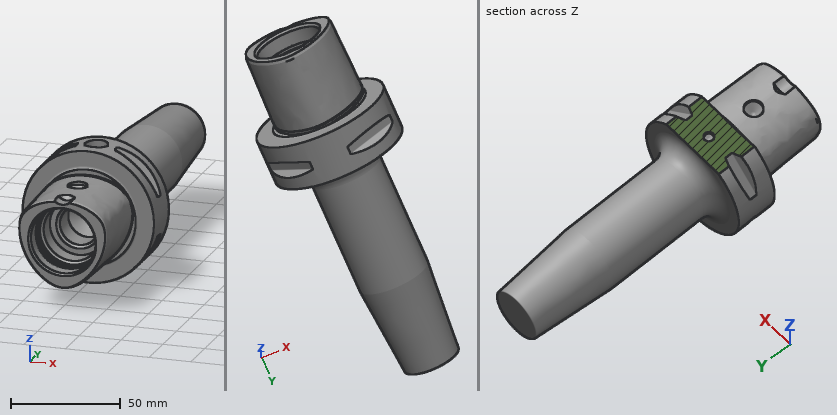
import cadquery as cq
import math


flange_radius = 31.5
flange_length = 22.0
nose_end = 130.0
body_radius = 17.0
nose_radius = 13.5
nose_cone_length = 44.2
nose_edge_fillet = 0.5
body_fillet = 8.5

taper_length = 38.0
taper_radius = 22.0
lobe_height = 1.43
taper_slope = 1 / 40
neck_length = 2.0
neck_radius = 22.7
neck_inset = 0.2
neck_run_out = 0.3
end_chamfer_length = 1.7
end_chamfer_depth = 0.5

rim_height = 0.7
rim_radius = 24.2
rim_fillet = 1.5

mouth_radius = 16.3
mouth_chamfer_length = 1.5
mouth_bore_radius = 15.5
groove_start_depth = 8.4
groove_end_depth = 10.5
groove_radius = 16.8
seat_radius = 15.0
seat_lead_in = 0.8
seat_end_depth = 13.1
inner_bore_radius = 13.6
inner_bore_depth = 23.5
thread_chamfer_radius = 10.5
thread_radius = 9.2
thread_depth = 37.0

slot_center = 12.0
slot_floor_distance = 27.9
slot_floor_width = 3.9
slot_wall_angle = math.radians(30)
slot_floor_fillet = 0.5
slot_angles = (45, 135, 225, 315)

drill_point_half_angle = math.radians(59)
pin_hole_radius = 5.4
pin_floor_height = 27.2
pilot_radius = 2.4
pilot_depth = 2.5
taper_hole_center = -15.5
taper_hole_radius = 4.5
taper_hole_cone_height = 18.8
key_radius = 5.4
key_floor_height = 17.8
key_cone_start = -31.5


def drill_tip_length(radius):
    return radius / math.tan(drill_point_half_angle)


def revolve_about_y(profile):
    return profile.close().revolve(360, (0, 0, 0), (0, 1, 0))


def drill(radius, length, tip_length, point, direction):
    """Cylinder with a conical tip; the tip begins after the given length."""
    start = cq.Vector(point)
    along = cq.Vector(direction)
    cylinder = cq.Solid.makeCylinder(radius, length, start, along)
    tip = cq.Solid.makeCone(radius, 0, tip_length, start + along * length, along)
    return cq.Workplane(cylinder).union(cq.Workplane(tip))


def lobed_section(y, radius):
    """Closed constant-width curve with one lobe pointing to -Z."""

    def point(turn):
        angle = 2 * math.pi * turn
        reach = radius + lobe_height * math.cos(3 * angle)
        slope = -3 * lobe_height * math.sin(3 * angle)
        across = reach * math.sin(angle) + slope * math.cos(angle)
        down = reach * math.cos(angle) - slope * math.sin(angle)
        return cq.Vector(across, y, -down)

    steps = 48
    edge = cq.Edge.makeSpline([point(i / steps) for i in range(steps)], periodic=True)
    return cq.Wire.assembleEdges([edge])


def shank():
    """Flange, filleted body and conical nose."""
    fillet_middle = body_fillet * (1 - math.sqrt(0.5))
    profile = (
        cq.Workplane("XY")
        .moveTo(0, 0)
        .lineTo(flange_radius, 0)
        .lineTo(flange_radius, flange_length)
        .lineTo(body_radius + body_fillet, flange_length)
        .threePointArc(
            (body_radius + fillet_middle, flange_length + fillet_middle),
            (body_radius, flange_length + body_fillet),
        )
        .lineTo(body_radius, nose_end - nose_cone_length)
        .lineTo(nose_radius, nose_end)
        .lineTo(0, nose_end)
    )
    return revolve_about_y(profile).faces(">Y").edges().fillet(nose_edge_fillet)


def rim():
    """Short concave collar where the neck meets the flange face."""

    def rim_reach(height):
        return rim_radius - math.sqrt(rim_fillet**2 - (rim_fillet - height) ** 2)

    profile = (
        cq.Workplane("XY")
        .moveTo(0, 0)
        .lineTo(rim_radius, 0)
        .threePointArc((rim_reach(rim_height / 2), -rim_height / 2), (rim_reach(rim_height), -rim_height))
        .lineTo(0, -rim_height)
    )
    return revolve_about_y(profile)


def taper():
    """Lobed taper with a chamfered end and a slightly recessed, rounded neck."""

    def section(y, inset=0):
        return lobed_section(y, taper_radius + taper_slope * y - inset)

    def ruled_loft(first, second):
        return cq.Workplane(cq.Solid.makeLoft([first, second], True))

    cone_start = -neck_length - neck_run_out
    cone_end = end_chamfer_length - taper_length
    neck_end = section(-neck_length, neck_inset)
    neck_trim = cq.Workplane("XZ").circle(neck_radius).extrude(neck_length)
    neck = ruled_loft(section(0, neck_inset), neck_end).intersect(neck_trim)
    run_out = ruled_loft(neck_end, section(cone_start))
    cone = ruled_loft(section(cone_start), section(cone_end))
    chamfer = ruled_loft(section(cone_end), section(-taper_length, end_chamfer_depth))
    return neck.union(run_out).union(cone).union(chamfer)


def bore():
    """Chamfered mouth, groove, seat, inner bore and blind threaded hole."""
    start = -taper_length
    groove_start = start + groove_start_depth
    groove_end = start + groove_end_depth
    seat_end = start + seat_end_depth
    inner_floor = start + inner_bore_depth
    thread_end = start + thread_depth
    profile = (
        cq.Workplane("XY")
        .moveTo(0, start)
        .lineTo(mouth_radius, start)
        .lineTo(mouth_bore_radius, start + mouth_chamfer_length)
        .lineTo(mouth_bore_radius, groove_start)
        .lineTo(groove_radius, groove_start)
        .lineTo(groove_radius, groove_end)
        .lineTo(mouth_bore_radius, groove_end)
        .lineTo(seat_radius, groove_end + seat_lead_in)
        .lineTo(seat_radius, seat_end)
        .lineTo(inner_bore_radius, seat_end + seat_radius - inner_bore_radius)
        .lineTo(inner_bore_radius, inner_floor)
        .lineTo(thread_chamfer_radius, inner_floor)
        .lineTo(thread_radius, inner_floor + thread_chamfer_radius - thread_radius)
        .lineTo(thread_radius, thread_end)
        .lineTo(0, thread_end + drill_tip_length(thread_radius))
    )
    return revolve_about_y(profile)


def gripper_slot(angle):
    """Straight slot with flared walls across the flange rim."""
    depth = flange_radius - slot_floor_distance
    half_floor = slot_floor_width / 2
    half_mouth = half_floor + depth * math.tan(slot_wall_angle)
    return (
        cq.Workplane("XY")
        .polyline(
            [
                (slot_floor_distance, slot_center - half_floor),
                (slot_floor_distance, slot_center + half_floor),
                (flange_radius, slot_center + half_mouth),
                (flange_radius, slot_center - half_mouth),
            ]
        )
        .close()
        .extrude(flange_radius, both=True)
        .faces("<X")
        .edges("|Z")
        .fillet(slot_floor_fillet)
        .rotate((0, 0, 0), (0, 1, 0), angle)
    )


def pin_hole():
    """Flat-bottomed hole in the flange with a small pilot hole in its floor."""
    floor_center = (0, slot_center, pin_floor_height)
    depth = flange_radius - pin_floor_height
    wide = cq.Solid.makeCylinder(pin_hole_radius, depth, cq.Vector(floor_center))
    tip_length = drill_tip_length(pilot_radius)
    pilot = drill(pilot_radius, pilot_depth, tip_length, floor_center, (0, 0, -1))
    return pilot.union(cq.Workplane(wide))


def taper_hole():
    """Blind hole in the taper, ending in a 45 degree cone above the bore."""
    length = flange_radius - taper_hole_cone_height
    start = (0, taper_hole_center, flange_radius)
    return drill(taper_hole_radius, length, taper_hole_radius, start, (0, 0, -1))


def key_groove():
    """Round-bottomed groove from the small end of the taper, ending in a 45 degree cone."""
    axis_height = key_floor_height + key_radius
    length = taper_length + key_cone_start
    return drill(key_radius, length, key_radius, (0, -taper_length, axis_height), (0, 1, 0))


result = shank().union(rim()).union(taper()).cut(bore())
for slot_angle in slot_angles:
    result = result.cut(gripper_slot(slot_angle))
result = result.cut(pin_hole()).cut(taper_hole()).cut(key_groove())